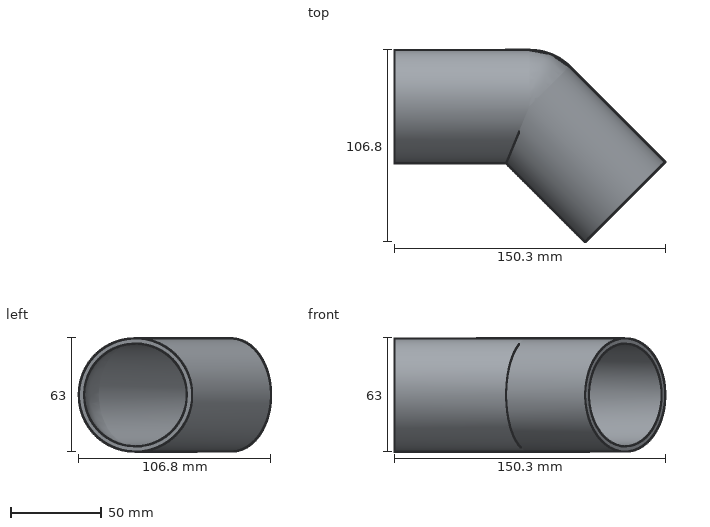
import cadquery as cq
import math

overall_length = 150.3
outer_diameter = 63.0
wall = 3.0
bend_angle = 45.0

outer_radius = outer_diameter / 2
bore_radius = outer_radius - wall
bend = math.radians(bend_angle)
leg_length = (overall_length - outer_radius * math.sin(bend)) / (1 + math.cos(bend))

straight_direction = cq.Vector(-1, 0, 0)
angled_direction = cq.Vector(math.cos(bend), -math.sin(bend), 0)


def elbow_body(radius):
    """Two round legs meeting at a ball, which rounds the outside of the bend."""
    body = cq.Workplane("XY").sphere(radius)
    for direction in (straight_direction, angled_direction):
        leg = cq.Solid.makeCylinder(radius, leg_length, cq.Vector(0, 0, 0), direction)
        body = body.union(cq.Workplane(obj=leg))
    return body


result = elbow_body(outer_radius).cut(elbow_body(bore_radius))